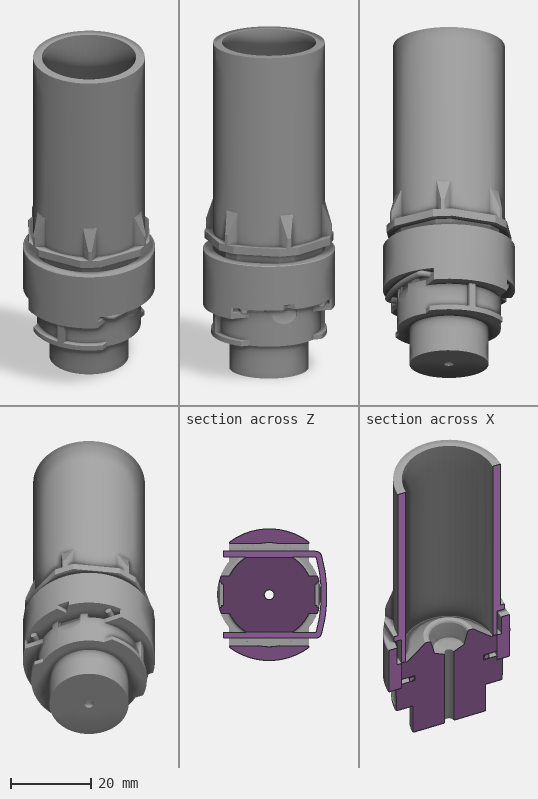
import cadquery as cq
import math

total_height = 84.7
spigot_top = 9.2
flange_top = 10.5
skirt_bottom = 16.6
clip_slot_bottom = 18.1
nut_bottom = 19.65
foot_bottom = 25.4
nut_top = 31.25
hex_flange_bottom = 33.5
hex_flange_top = 35.5
gusset_shoulder = 38.0
gusset_top = 43.6

tube_radius = 14.0
bore_radius = 11.8
foot_flat_distance = 13.05
foot_corner_distance = tube_radius
flange_flat_distance = 15.1
flange_corner_distance = 16.0
hexagon_twist = 0.4
gusset_count = 6
gusset_root_width = 3.55
gusset_tip_width = 0.85
gusset_tip_distance = flange_corner_distance

nut_radius = 16.5
nut_bore_radius = 13.0
nut_edge_chamfer = 0.2
skirt_width = 19.9
skirt_slot_width = 25.4
mark_width = 3.2
mark_depth = 2.2
mark_height = 1.35

spigot_radius = 9.9
plug_radius = nut_bore_radius
plug_flange_radius = 14.5
plug_rib_width = 1.6
nose_base_radius = 11.5
nose_rim_radius = 6.4
nose_height = 4.7
mouth_radius = 5.3
mouth_chamfer = 0.3
throat_radius = 4.0
throat_depth = 4.2
jet_radius = 1.2
funnel_depth = 1.4
groove_centre_radius = 11.8
land_width = 9.5
pocket_width = 6.2
pocket_floor_distance = 11.95
pocket_bottom = 14.9
pocket_ramp_top = 17.95
pocket_ledge = 0.25
window_width = 5.2
window_depth = 0.4

wire_radius = 0.8
leg_distance = 10.2
leg_tip = -11.4
crossbar_distance = 13.7
bend_start = 11.5
bend_radius = 0.9

clip_slot_height = nut_bottom - clip_slot_bottom
wire_height = clip_slot_bottom + clip_slot_height / 2


def cylinder(radius, bottom, top):
    return cq.Workplane("XY").workplane(offset=bottom).circle(radius).extrude(top - bottom)


def block(size_x, size_y, bottom, top):
    return cq.Workplane("XY").workplane(offset=bottom).rect(size_x, size_y).extrude(top - bottom)


def hexagon_prism(flat_distance, corner_distance, bottom, top):
    """Hexagon with corners on the X axis, each corner cut by a flat."""
    across_corners = 2 * flat_distance / math.cos(math.pi / 6)
    across_cuts = 2 * corner_distance / math.cos(math.pi / 6)
    plane = cq.Workplane("XY").workplane(offset=bottom)
    prism = plane.polygon(6, across_corners).extrude(top - bottom)
    corner_cuts = plane.polygon(6, across_cuts).extrude(top - bottom)
    return prism.intersect(corner_cuts.rotate((0, 0, 0), (0, 0, 1), 30))


def gusset(angle):
    """Rib tapering outwards in plan, with a sloping upper face."""
    root = (bore_radius + tube_radius) / 2
    contact = math.sqrt(tube_radius**2 - (gusset_root_width / 2) ** 2)
    plan = (
        cq.Workplane("XY").workplane(offset=hex_flange_top)
        .moveTo(root, -gusset_root_width / 2)
        .lineTo(contact, -gusset_root_width / 2)
        .lineTo(gusset_tip_distance, -gusset_tip_width / 2)
        .lineTo(gusset_tip_distance, gusset_tip_width / 2)
        .lineTo(contact, gusset_root_width / 2)
        .lineTo(root, gusset_root_width / 2)
        .close()
        .extrude(gusset_top - hex_flange_top)
    )
    profile = (
        cq.Workplane("XZ")
        .moveTo(root, hex_flange_top)
        .lineTo(gusset_tip_distance, hex_flange_top)
        .lineTo(gusset_tip_distance, gusset_shoulder)
        .lineTo(tube_radius, gusset_top)
        .lineTo(root, gusset_top)
        .close()
        .extrude(gusset_root_width / 2, both=True)
    )
    return plan.intersect(profile).rotate((0, 0, 0), (0, 0, 1), angle)


def make_tube():
    """Open tube with a hexagonal foot, a hexagonal flange and a gusset at each flange corner."""
    tube = cylinder(tube_radius, hex_flange_top, total_height)
    tube = tube.union(
        hexagon_prism(foot_flat_distance, foot_corner_distance, foot_bottom, hex_flange_bottom)
    )
    tube = tube.union(
        hexagon_prism(flange_flat_distance, flange_corner_distance, hex_flange_bottom, hex_flange_top)
    )
    for i in range(gusset_count):
        tube = tube.union(gusset(i * 360 / gusset_count))
    tube = tube.cut(cylinder(bore_radius, foot_bottom, total_height))
    return tube.rotate((0, 0, 0), (0, 0, 1), hexagon_twist)


def make_nut():
    """Ring round the plug and the hexagonal foot, with two skirts slotted for the clip."""
    nut = cylinder(nut_radius, nut_bottom, nut_top).faces(">Z").edges().chamfer(nut_edge_chamfer)
    skirts = cylinder(nut_radius, skirt_bottom, nut_bottom).intersect(
        block(skirt_width, 2 * nut_radius, skirt_bottom, nut_bottom)
    )
    clip_slot = block(2 * nut_radius, skirt_slot_width, clip_slot_bottom, nut_bottom)
    nut = nut.union(skirts.cut(clip_slot))
    mark = (
        cq.Workplane("XY").workplane(offset=nut_bottom)
        .moveTo(mark_depth - nut_radius, 0)
        .lineTo(-nut_radius, mark_width / 2)
        .lineTo(-nut_radius - mark_depth, 0)
        .lineTo(-nut_radius, -mark_width / 2)
        .close()
        .extrude(mark_height)
    )
    corner_half_width = 2 * foot_flat_distance - math.sqrt(3) * foot_corner_distance
    foot_bore_radius = math.hypot(foot_corner_distance, corner_half_width)
    plug_bore = cylinder(nut_bore_radius, skirt_bottom, foot_bottom)
    foot_bore = cylinder(foot_bore_radius, foot_bottom, nut_top)
    return nut.cut(mark).cut(plug_bore).cut(foot_bore)


def plug_blank():
    """Turned plug with a conical nose and a funnel leading to the jet hole."""
    nose_top = foot_bottom + nose_height
    throat_top = nose_top - mouth_chamfer
    funnel_top = throat_top - throat_depth
    funnel_bottom = funnel_top - funnel_depth
    return (
        cq.Workplane("XZ")
        .moveTo(jet_radius, 0)
        .lineTo(spigot_radius, 0)
        .lineTo(spigot_radius, spigot_top)
        .lineTo(plug_radius, spigot_top)
        .lineTo(plug_radius, foot_bottom)
        .lineTo(nose_base_radius, foot_bottom)
        .lineTo(nose_rim_radius, nose_top)
        .lineTo(mouth_radius, nose_top)
        .lineTo(mouth_radius - mouth_chamfer, throat_top)
        .lineTo(throat_radius, funnel_top)
        .lineTo(jet_radius, funnel_bottom)
        .close()
        .revolve(360, (0, 0, 0), (0, 1, 0))
    )


def plug_flange_and_ribs():
    """Flange segments and one upright rib on the -Y and +Y sides."""
    flange = cylinder(plug_flange_radius, spigot_top, flange_top).intersect(
        block(skirt_width, 2 * plug_flange_radius, spigot_top, flange_top)
    )
    ribs = cylinder(plug_flange_radius, spigot_top, skirt_bottom).intersect(
        block(plug_rib_width, 2 * plug_flange_radius, spigot_top, skirt_bottom)
    )
    hollow = cylinder(throat_radius, spigot_top, skirt_bottom)
    return flange.union(ribs).cut(hollow)


def clip_groove():
    """Round-bottomed groove, interrupted on the X sides, widened to let the clip legs pass."""
    ring = cylinder(plug_radius, clip_slot_bottom, nut_bottom).cut(
        cylinder(groove_centre_radius, clip_slot_bottom, nut_bottom)
    )
    bottom = (
        cq.Workplane("XZ").center(groove_centre_radius, wire_height)
        .circle(clip_slot_height / 2)
        .revolve(360, (-groove_centre_radius, 0, 0), (-groove_centre_radius, 1, 0))
    )
    lands = block(2 * plug_radius, land_width, clip_slot_bottom, nut_bottom)
    groove = ring.union(bottom).cut(lands)
    leg_inner_side = 2 * (leg_distance - wire_radius)
    leg_passages = block(2 * plug_radius, 2 * plug_radius, clip_slot_bottom, nut_bottom).cut(
        block(2 * plug_radius, leg_inner_side, clip_slot_bottom, nut_bottom)
    )
    return groove.union(leg_passages)


def side_pocket():
    """Pocket on the +X side: a ramp up to an upright floor with a deeper window in it."""
    ramp = (
        cq.Workplane("XZ")
        .moveTo(plug_radius, pocket_bottom)
        .lineTo(pocket_floor_distance + pocket_ledge, pocket_ramp_top)
        .lineTo(pocket_floor_distance, pocket_ramp_top)
        .lineTo(pocket_floor_distance, nut_bottom)
        .lineTo(plug_radius, nut_bottom)
        .close()
        .extrude(pocket_width / 2, both=True)
    )
    window = (
        cq.Workplane("XY").workplane(offset=pocket_ramp_top)
        .center(pocket_floor_distance, 0)
        .rect(2 * window_depth, window_width)
        .extrude(nut_bottom - pocket_ramp_top)
    )
    return ramp.union(window)


def make_plug():
    """Plug with flange segments, ribs, the clip groove and a pocket on each X side."""
    plug = plug_blank().union(plug_flange_and_ribs()).cut(clip_groove())
    for angle in (0, 180):
        plug = plug.cut(side_pocket().rotate((0, 0, 0), (0, 0, 1), angle))
    return plug


def make_clip():
    """U-shaped wire: two straight legs along X joined by a bowed crossbar on the +X side."""
    bend_centre_y = leg_distance - bend_radius
    bow_depth = crossbar_distance - bend_start
    bow_radius = (bend_centre_y**2 + bow_depth**2 - bend_radius**2) / (2 * (bow_depth - bend_radius))
    bow_half_angle = math.asin(bend_centre_y / (bow_radius - bend_radius))
    middle_angle = (bow_half_angle + math.pi / 2) / 2

    def bend_point(angle, side):
        return (
            bend_start + bend_radius * math.cos(angle),
            side * (bend_centre_y + bend_radius * math.sin(angle)),
        )

    path = (
        cq.Workplane("XY").workplane(offset=wire_height)
        .moveTo(leg_tip, -leg_distance)
        .lineTo(bend_start, -leg_distance)
        .threePointArc(bend_point(middle_angle, -1), bend_point(bow_half_angle, -1))
        .threePointArc((crossbar_distance, 0), bend_point(bow_half_angle, 1))
        .threePointArc(bend_point(middle_angle, 1), (bend_start, leg_distance))
        .lineTo(leg_tip, leg_distance)
    )
    section = cq.Workplane("YZ", origin=(leg_tip, -leg_distance, wire_height)).circle(wire_radius)
    return section.sweep(path)


tube = make_tube()
nut = make_nut()
plug = make_plug()
clip = make_clip()
result = cq.Compound.makeCompound([body.solids().val() for body in (tube, nut, plug, clip)])